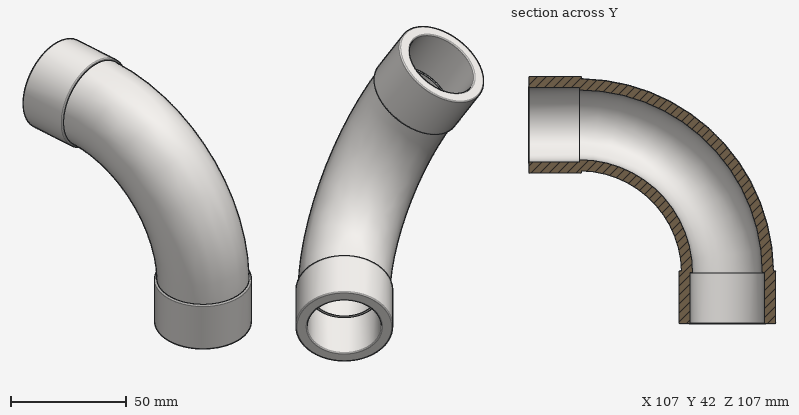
import cadquery as cq

bend_radius = 64.0
bend_angle = 90.0
tube_diameter = 40.0
bore_diameter = 30.0

collar_diameter = 42.0
collar_length = 23.0
socket_diameter = 32.0
socket_depth = 22.0
rim_radius = 0.5

end_distance = bend_radius + socket_depth

open_ends = [
    (cq.Vector(-1, 0, 0), "<X"),
    (cq.Vector(0, 0, -1), "<Z"),
]


def bent_rod(diameter):
    """Solid quarter bend between the two socket bottoms."""
    axis_start = (-1, -bend_radius, 0)
    axis_end = (1, -bend_radius, 0)
    return (
        cq.Workplane("YZ", origin=(-bend_radius, 0, 0))
        .circle(diameter / 2)
        .revolve(bend_angle, axis_start, axis_end)
    )


def end_cylinder(outward, diameter, length):
    """Cylinder running from an open end inward along its axis."""
    centre = outward * end_distance
    plane = cq.Plane(origin=centre.toTuple(), xDir=(0, 1, 0), normal=(-outward).toTuple())
    return cq.Workplane(plane).circle(diameter / 2).extrude(length)


def collar(outward):
    """Collar whose two outer rims are rounded."""
    return end_cylinder(outward, collar_diameter, collar_length).faces("%PLANE").edges().fillet(rim_radius)


result = bent_rod(tube_diameter)
for outward, end_face in open_ends:
    result = result.union(collar(outward))

result = result.cut(bent_rod(bore_diameter))
for outward, end_face in open_ends:
    result = result.cut(end_cylinder(outward, socket_diameter, socket_depth))
    mouth_edge = result.faces(end_face).edges(cq.selectors.RadiusNthSelector(0))
    result = mouth_edge.fillet(rim_radius)